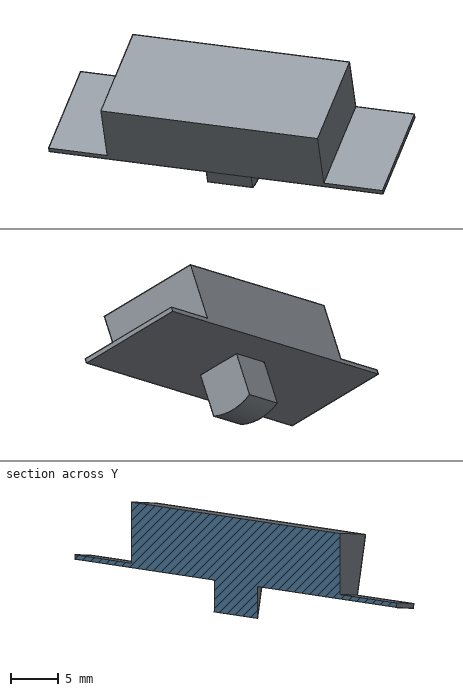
import cadquery as cq

tilt_angle = 20.0
plate_length = 37.0
plate_thickness = 0.5
body_length = 24.0
depth = 12.0
overall_height = 7.0
stem_width = 5.0
stem_tip_radius = 6.03

body_height = overall_height - plate_thickness


def make_plate():
    """Thin plate with its top face at Z = 0; its ends form the two side tabs."""
    return cq.Workplane("XY").box(
        plate_length, depth, plate_thickness, centered=(True, True, False)
    ).translate((0, 0, -plate_thickness))


def make_body():
    """Block standing on the middle of the plate."""
    return cq.Workplane("XY").box(
        body_length, depth, body_height, centered=(True, True, False)
    )


def make_stem():
    """Square stem below the plate, its tip rounded about the X axis."""
    bar = cq.Workplane("XY").box(
        stem_width, stem_width, stem_tip_radius, centered=(True, True, False)
    ).translate((0, 0, -stem_tip_radius))
    tip_cylinder = cq.Workplane("YZ").circle(stem_tip_radius).extrude(stem_width / 2, both=True)
    return bar.intersect(tip_cylinder)


upright_part = make_plate().union(make_body()).union(make_stem())
result = upright_part.rotate((0, 0, 0), (1, 0, 0), tilt_angle)